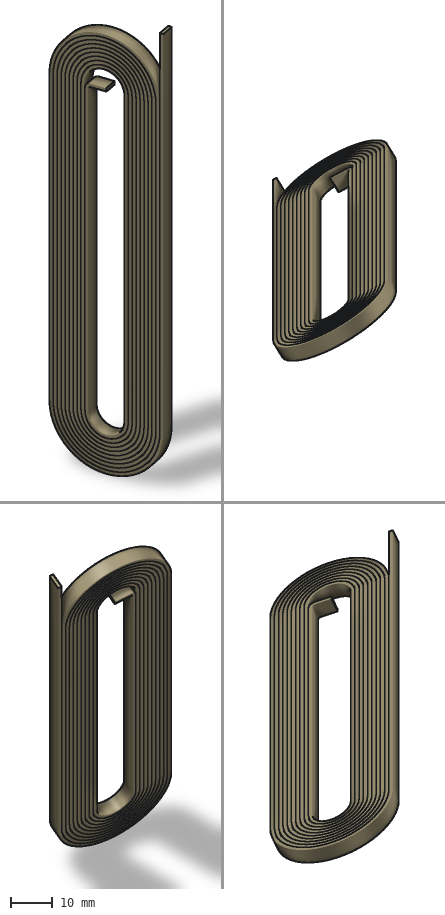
import cadquery as cq

LENGTH = 125.8
WIDTH = 31.6
THICKNESS = 4.0
STRIP_WIDTH = 1.0
STRIP_EDGE_RADIUS = 0.1
INNER_RADIUS = 4.9
TURNS = 10
OUTER_LEAD_LENGTH = 20.0
INNER_LEAD_END_X = 0.0
INNER_LEAD_BEND_RADIUS = 1.0

outer_path_radius = (WIDTH - STRIP_WIDTH) / 2
inner_path_radius = INNER_RADIUS + STRIP_WIDTH / 2
pitch = (outer_path_radius - inner_path_radius) / (TURNS - 1)
straight_length = LENGTH - OUTER_LEAD_LENGTH - WIDTH / 2
upper_z = straight_length / 2
lower_z = -upper_z


def add_turn(path, radius):
    """Run down the left side, around the lower end and up the right side."""
    return (
        path.lineTo(-radius, lower_z)
        .threePointArc((0, lower_z - radius), (radius, lower_z))
        .lineTo(radius, upper_z)
    )


def add_upper_bend(path, radius):
    """Cross from the right side over the upper end to the next larger turn on the left."""
    next_radius = radius + pitch
    mid_x = (radius - next_radius) / 2
    bend_radius = (radius + next_radius) / 2
    return path.threePointArc((mid_x, upper_z + bend_radius), (-next_radius, upper_z))


def inner_lead_path():
    """Run toward -X and bend down onto the left side of the innermost turn."""
    return (
        cq.Workplane("XZ")
        .moveTo(INNER_LEAD_END_X, upper_z)
        .lineTo(INNER_LEAD_BEND_RADIUS - inner_path_radius, upper_z)
        .tangentArcPoint((-inner_path_radius, upper_z - INNER_LEAD_BEND_RADIUS), relative=False)
    )


def coil_path():
    """Centre line of the strip, from the inner lead outward to the outer lead."""
    path = inner_lead_path()
    for turn in range(TURNS):
        radius = inner_path_radius + turn * pitch
        path = add_turn(path, radius)
        if turn < TURNS - 1:
            path = add_upper_bend(path, radius)
    return path.lineTo(outer_path_radius, upper_z + OUTER_LEAD_LENGTH).wire()


strip_section = cq.Sketch().rect(THICKNESS, STRIP_WIDTH).vertices().fillet(STRIP_EDGE_RADIUS)
result = (
    cq.Workplane("YZ", origin=(INNER_LEAD_END_X, 0, upper_z))
    .placeSketch(strip_section)
    .sweep(coil_path())
)